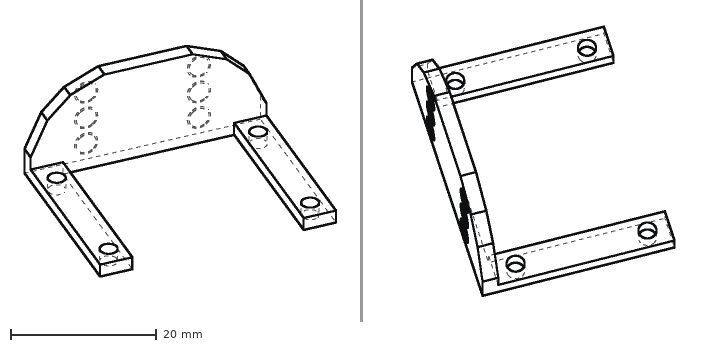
import cadquery as cq

width = 35.12
height = 15.0
plate_thickness = 2.25
flat_half_width = 6.55
upper_corner = (11.65, 12.85)
lower_corner = (15.05, 9.5)
side_height = 4.05

length = 27.55
foot_width = 4.8
foot_thickness = 2.0
foot_hole_diameter = 2.5
foot_hole_spacing = 30.0
foot_hole_x = (5.48, 24.37)

recess_diameter = 3.45
recess_depth = 0.07
recess_step_diameter = 3.0
recess_step_depth = 0.15
recess_spacing = 16.8
recess_bottom_z = 2.65
recess_pitch = 4.25
recess_rows = 3


def upright_plate():
    """Plate with a faceted arch outline, symmetric about the XZ plane."""
    right_side = [
        (width / 2, 0),
        (width / 2, side_height),
        lower_corner,
        upper_corner,
        (flat_half_width, height),
    ]
    left_side = [(-y, z) for y, z in reversed(right_side)]
    return cq.Workplane("YZ").polyline(right_side + left_side).close().extrude(plate_thickness)


def foot(side):
    """Foot along +X, flush with the plate's edge on the given side (+1 or -1)."""
    center_y = side * (width - foot_width) / 2
    hole_points = [(x, side * foot_hole_spacing / 2) for x in foot_hole_x]
    bar = cq.Workplane("XY").box(length, foot_width, foot_thickness, centered=(False, True, False))
    holes = cq.Workplane("XY").pushPoints(hole_points).circle(foot_hole_diameter / 2).extrude(foot_thickness)
    return bar.translate((0, center_y, 0)).cut(holes)


def recesses():
    """Cutter for two columns of stepped round recesses."""
    points = [
        (side * recess_spacing / 2, recess_bottom_z + row * recess_pitch)
        for side in (-1, 1)
        for row in range(recess_rows)
    ]
    face = cq.Workplane("YZ").pushPoints(points)
    outer = face.circle(recess_diameter / 2).extrude(recess_depth)
    inner = face.circle(recess_step_diameter / 2).extrude(recess_step_depth)
    return outer.union(inner)


result = upright_plate().union(foot(1)).union(foot(-1)).cut(recesses())